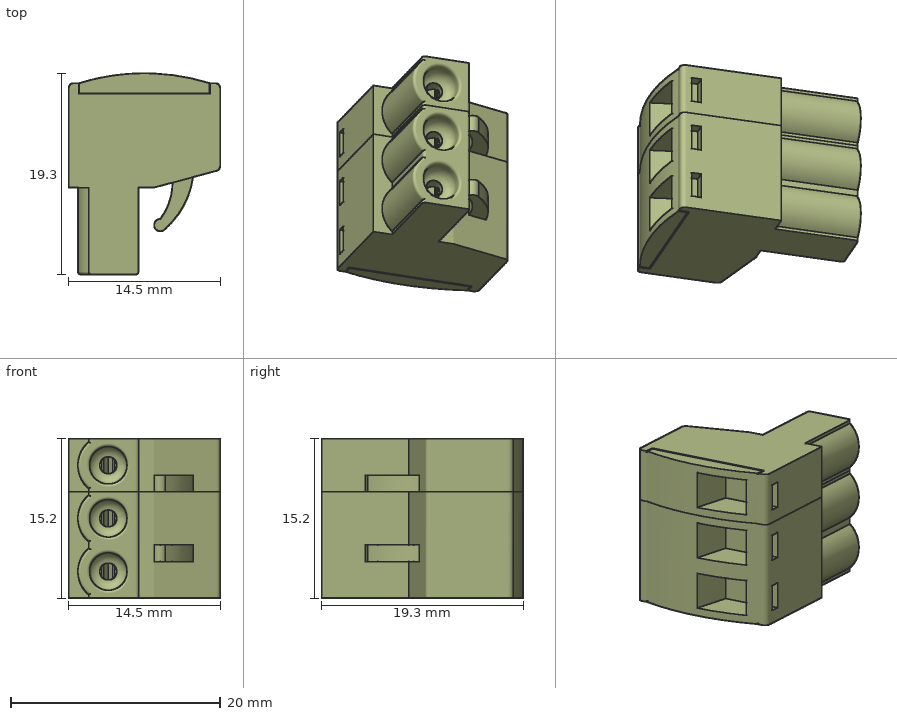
import cadquery as cq
import math

POLE_COUNT = 3
HEIGHT = 15.23
PITCH = HEIGHT / POLE_COUNT
WIDTH = 14.5
LENGTH = 19.26

SHOULDER_Y = 8.32
BACK_Y = 18.32
SLOPE_START_X = 8.19
SLOPE_ANGLE = 15.0
CORNER_RADIUS = 0.5

CROWN_MARGIN = 1.04
CROWN_FLOOR_Y = 17.35
GROOVE_WIDTH = 0.08
GROOVE_DEPTH = 0.1

LEG_LEFT_X = 1.9
LEG_RIGHT_X = 6.68
BARREL_LEFT_X = 0.89
SOCKET_X = 3.8
BARREL_RADIUS = SOCKET_X - BARREL_LEFT_X
LEG_EDGE_RADIUS = 0.29

SOCKET_RADIUS = 1.8
SOCKET_MOUTH_RADIUS = 0.29
SOCKET_STRAIGHT_END = 1.0
CONTACT_HOLE_RADIUS = 0.8
CONTACT_HOLE_DEPTH = 2.7
CONTACT_SLOT_WIDTH = 1.27
CONTACT_SLOT_DEPTH = 0.39
CONTACT_VEE_WIDTH = 0.89
CONTACT_VEE_DEPTH = 0.77

LATCH_THICKNESS = 1.6
LATCH_TIP_X = 8.76
LATCH_TIP_Y = 4.74
LATCH_TIP_RADIUS = 0.6
LATCH_ROOT_Y = 10.6
LATCH_INNER_ARC = ((9.92, 8.72), (9.61, 6.93), (8.76, 5.34))
LATCH_OUTER_ARC = ((9.25, 4.37), (11.04, 6.65), (11.9, 9.28))

ENTRY_LEFT_X = 1.96
ENTRY_RIGHT_X = WIDTH / 2
ENTRY_HEIGHT = 3.5
ENTRY_DEPTH = 3.85
ENTRY_TAPER = 12.0
WINDOW_FRONT_Y = 16.33
WINDOW_BACK_Y = 17.3
WINDOW_HEIGHT = 2.5
WINDOW_DEPTH = 1.15


def pole_center(pole):
    return (pole + 0.5) * PITCH


def box(x_range, y_range, z_range):
    """Box between the given limits."""
    corner = (x_range[0], y_range[0], z_range[0])
    sizes = [high - low for low, high in (x_range, y_range, z_range)]
    return cq.Workplane("XY").box(*sizes, centered=False).translate(corner)


def housing_block(z_range):
    """Main block with the sloping latch face and the domed crown."""
    bottom, top = z_range
    height = top - bottom
    slope_end_y = SHOULDER_Y + (WIDTH - SLOPE_START_X) * math.tan(math.radians(SLOPE_ANGLE))
    block = (
        cq.Workplane("XY", origin=(0, 0, bottom))
        .polyline([
            (0, SHOULDER_Y),
            (SLOPE_START_X, SHOULDER_Y),
            (WIDTH, slope_end_y),
            (WIDTH, BACK_Y),
            (0, BACK_Y),
        ])
        .close()
        .extrude(height)
    )
    block = block.edges("|Z and (>X or >Y)").fillet(CORNER_RADIUS)
    return block.union(crown(z_range))


def crown(z_range):
    """Strip with a domed back, set into the back of the housing."""
    bottom, top = z_range
    return (
        cq.Workplane("XY", origin=(0, 0, bottom))
        .moveTo(CROWN_MARGIN, CROWN_FLOOR_Y)
        .lineTo(CROWN_MARGIN, BACK_Y)
        .threePointArc((WIDTH / 2, LENGTH), (WIDTH - CROWN_MARGIN, BACK_Y))
        .lineTo(WIDTH - CROWN_MARGIN, CROWN_FLOOR_Y)
        .close()
        .extrude(top - bottom)
    )


def crown_groove(start_z):
    """Shallow groove that follows the crown's sides and floor, cut upwards from start_z."""
    z_range = (start_z, start_z + GROOVE_DEPTH)
    outer = box((CROWN_MARGIN - GROOVE_WIDTH, WIDTH - CROWN_MARGIN + GROOVE_WIDTH),
                (CROWN_FLOOR_Y - GROOVE_WIDTH, BACK_Y), z_range)
    return outer.cut(crown(z_range))


def plug_leg(z_range):
    """Flat leg, rounded along its two front edges."""
    leg = box((LEG_LEFT_X, LEG_RIGHT_X), (0, SHOULDER_Y), z_range)
    return leg.edges("|Z and <Y").fillet(LEG_EDGE_RADIUS)


def barrel(pole):
    """Part of a round barrel that bulges from the left side of the leg."""
    cylinder = (
        cq.Workplane("XZ", origin=(SOCKET_X, 0, pole_center(pole)))
        .circle(BARREL_RADIUS)
        .extrude(-SHOULDER_Y)
        .faces("<Y").edges().fillet(LEG_EDGE_RADIUS)
    )
    bulge = box((0, LEG_LEFT_X + LEG_EDGE_RADIUS), (0, SHOULDER_Y), (pole * PITCH, (pole + 1) * PITCH))
    return cylinder.intersect(bulge)


def socket(pole):
    """Round-bottomed socket with a rounded mouth and a contact hole in its floor."""
    bottom_radius = SOCKET_RADIUS - CONTACT_HOLE_RADIUS
    bottom_y = SOCKET_STRAIGHT_END + bottom_radius
    arc_part = math.sqrt(0.5)
    mouth_corner = SOCKET_RADIUS + SOCKET_MOUTH_RADIUS
    mouth_mid = (mouth_corner - SOCKET_MOUTH_RADIUS * arc_part, SOCKET_MOUTH_RADIUS * (1 - arc_part))
    bottom_mid = (CONTACT_HOLE_RADIUS + bottom_radius * arc_part,
                  SOCKET_STRAIGHT_END + bottom_radius * arc_part)
    hole = (
        cq.Workplane("XY")
        .moveTo(0, 0)
        .lineTo(mouth_corner, 0)
        .threePointArc(mouth_mid, (SOCKET_RADIUS, SOCKET_MOUTH_RADIUS))
        .lineTo(SOCKET_RADIUS, SOCKET_STRAIGHT_END)
        .threePointArc(bottom_mid, (CONTACT_HOLE_RADIUS, bottom_y))
        .lineTo(CONTACT_HOLE_RADIUS, CONTACT_HOLE_DEPTH)
        .lineTo(0, CONTACT_HOLE_DEPTH)
        .close()
        .revolve(360, (0, 0), (0, 1))
    )
    return hole.union(contact_slot()).translate((SOCKET_X, 0, pole_center(pole)))


def contact_slot():
    """Slot with a vee in its floor, as tall as the contact hole and sunk into its end."""
    slot_end = CONTACT_HOLE_DEPTH + CONTACT_SLOT_DEPTH
    vee_end = slot_end + CONTACT_VEE_DEPTH
    slot = (
        cq.Workplane("XY")
        .polyline([
            (-CONTACT_SLOT_WIDTH / 2, CONTACT_HOLE_DEPTH),
            (CONTACT_SLOT_WIDTH / 2, CONTACT_HOLE_DEPTH),
            (CONTACT_SLOT_WIDTH / 2, slot_end),
            (CONTACT_VEE_WIDTH / 2, slot_end),
            (0, vee_end),
            (-CONTACT_VEE_WIDTH / 2, slot_end),
            (-CONTACT_SLOT_WIDTH / 2, slot_end),
        ])
        .close()
        .extrude(CONTACT_HOLE_RADIUS, both=True)
    )
    bore = cq.Workplane("XZ").circle(CONTACT_HOLE_RADIUS).extrude(-vee_end)
    return slot.intersect(bore)


def latch(bottom):
    """Curved finger with a round tip."""
    inner_root, inner_middle, inner_tip = LATCH_INNER_ARC
    outer_tip, outer_middle, outer_root = LATCH_OUTER_ARC
    finger = (
        cq.Workplane("XY", origin=(0, 0, bottom))
        .moveTo(inner_root[0], LATCH_ROOT_Y)
        .lineTo(*inner_root)
        .threePointArc(inner_middle, inner_tip)
        .lineTo(*outer_tip)
        .threePointArc(outer_middle, outer_root)
        .lineTo(outer_root[0], LATCH_ROOT_Y)
        .close()
        .extrude(LATCH_THICKNESS)
    )
    tip = (
        cq.Workplane("XY", origin=(LATCH_TIP_X, LATCH_TIP_Y, bottom))
        .circle(LATCH_TIP_RADIUS)
        .extrude(LATCH_THICKNESS)
    )
    return finger.union(tip)


def wire_entry(pole):
    """Rectangular funnel into the back whose two side walls close in with depth."""
    floor_y = LENGTH - ENTRY_DEPTH
    inset = ENTRY_DEPTH * math.tan(math.radians(ENTRY_TAPER))
    return (
        cq.Workplane("XY", origin=(0, 0, pole_center(pole)))
        .polyline([
            (ENTRY_LEFT_X, LENGTH),
            (ENTRY_RIGHT_X, LENGTH),
            (ENTRY_RIGHT_X - inset, floor_y),
            (ENTRY_LEFT_X + inset, floor_y),
        ])
        .close()
        .extrude(ENTRY_HEIGHT / 2, both=True)
    )


def test_window(pole):
    """Shallow rectangular opening in the left side."""
    middle = pole_center(pole)
    return box((0, WINDOW_DEPTH), (WINDOW_FRONT_Y, WINDOW_BACK_Y),
               (middle - WINDOW_HEIGHT / 2, middle + WINDOW_HEIGHT / 2))


def connector_section(first_pole, pole_count, latch_bottom, groove_start):
    """One body holding pole_count neighbouring poles, counted from the bottom of the plug."""
    poles = range(first_pole, first_pole + pole_count)
    z_range = (first_pole * PITCH, (first_pole + pole_count) * PITCH)
    body = housing_block(z_range).union(plug_leg(z_range)).union(latch(latch_bottom))
    for pole in poles:
        body = body.union(barrel(pole))
    for pole in poles:
        body = body.cut(socket(pole)).cut(wire_entry(pole)).cut(test_window(pole))
    return body.cut(crown_groove(groove_start))


top_section = connector_section(POLE_COUNT - 1, 1, (POLE_COUNT - 1) * PITCH, HEIGHT - GROOVE_DEPTH)
lower_section = connector_section(0, POLE_COUNT - 1, PITCH - LATCH_THICKNESS, 0)

result = cq.Compound.makeCompound([lower_section.val(), top_section.val()])